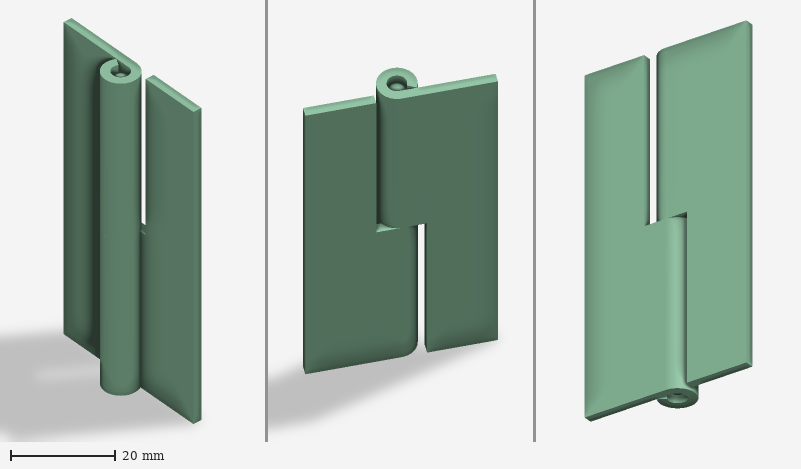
import cadquery as cq
import math

height = 75.0
width = 38.0
knuckle_radius = 4.01
sheet_thickness = 2.0
notch_edge = 5.0
curl_end_angle = 151.0
pin_end_recess = 1.0

bore_radius = knuckle_radius - sheet_thickness
half_height = height / 2
half_width = width / 2


def polar(radius, angle):
    """Point around the hinge axis, angle in degrees from +X."""
    return (radius * math.cos(math.radians(angle)), radius * math.sin(math.radians(angle)))


def make_leaf():
    """Left leaf: sheet tangent to the curl, which fills the upper half of the height."""
    middle_angle = (90 + curl_end_angle - 360) / 2
    curled_sheet = (
        cq.Workplane("XY")
        .moveTo(-half_width, knuckle_radius)
        .lineTo(0, knuckle_radius)
        .threePointArc(polar(knuckle_radius, middle_angle), polar(knuckle_radius, curl_end_angle))
        .lineTo(*polar(bore_radius, curl_end_angle))
        .threePointArc(polar(bore_radius, middle_angle), (0, bore_radius))
        .lineTo(-half_width, bore_radius)
        .close()
        .extrude(half_height)
    )
    lower_sheet = (
        cq.Workplane("XY")
        .moveTo(-half_width, bore_radius)
        .lineTo(-notch_edge, bore_radius)
        .lineTo(-notch_edge, knuckle_radius)
        .lineTo(-half_width, knuckle_radius)
        .close()
        .extrude(-half_height)
    )
    return curled_sheet.union(lower_sheet, clean=True)


def make_pin():
    """Round pin with hemispherical ends, revolved about the hinge axis."""
    tip = half_height - pin_end_recess
    shoulder = tip - bore_radius
    dome_x, dome_rise = polar(bore_radius, 45)
    return (
        cq.Workplane("XZ")
        .moveTo(0, -tip)
        .threePointArc((dome_x, -shoulder - dome_rise), (bore_radius, -shoulder))
        .lineTo(bore_radius, shoulder)
        .threePointArc((dome_x, shoulder + dome_rise), (0, tip))
        .close()
        .revolve(360, (0, 0), (0, 1))
    )


left_leaf = make_leaf()
right_leaf = left_leaf.rotate((0, 0, 0), (0, 1, 0), 180)
pin = make_pin()

result = cq.Compound.makeCompound([left_leaf.val(), right_leaf.val(), pin.val()])